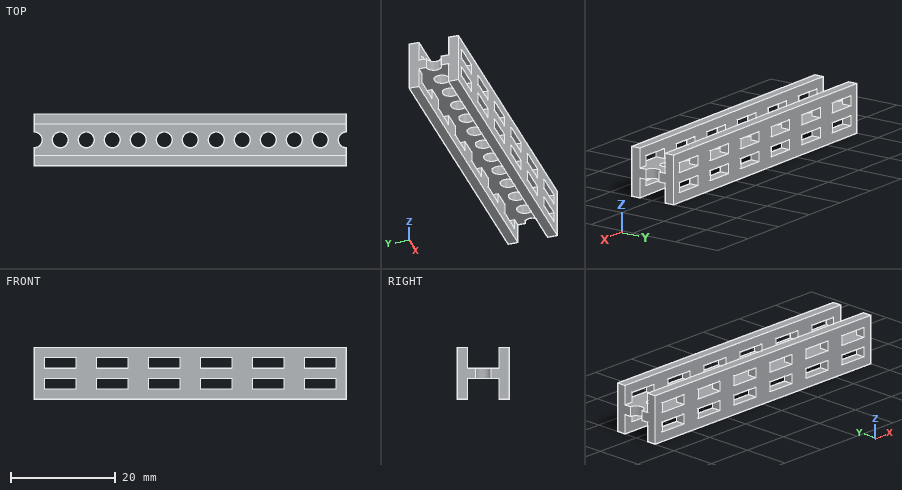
import cadquery as cq

length = 60.0
width = 10.0
height = 10.0
wall = 2.0

hole_diameter = 3.0
hole_pitch = 5.0
hole_count = round(length / hole_pitch) + 1

window_length = 6.0
window_height = 2.0
window_pitch = 10.0
window_count = round(length / window_pitch)
window_row_offset = (wall + window_height) / 2


def h_beam():
    """Two upright flanges joined by a horizontal web."""
    flange_offset = (width - wall) / 2
    beam = cq.Workplane("XY").box(length, width - 2 * wall, wall)
    for side in (-1, 1):
        flange = cq.Workplane("XY").box(length, wall, height)
        beam = beam.union(flange.translate((0, side * flange_offset, 0)))
    return beam


def web_holes():
    """Row of vertical cylinders along the centreline of the web."""
    return (
        cq.Workplane("XY", origin=(0, 0, -wall / 2))
        .rarray(hole_pitch, 1, hole_count, 1)
        .circle(hole_diameter / 2)
        .extrude(wall)
    )


def flange_windows():
    """Bars across the full width, one row above the web and one below."""
    return (
        cq.Workplane("XZ", origin=(0, width / 2, 0))
        .rarray(window_pitch, 2 * window_row_offset, window_count, 2)
        .rect(window_length, window_height)
        .extrude(width)
    )


result = h_beam().cut(web_holes()).cut(flange_windows())